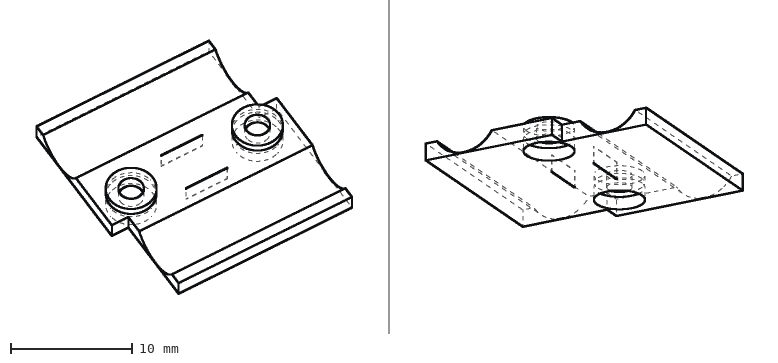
import cadquery as cq

width = 19.75
length = 18.37
plate_thickness = 1.5
boss_height = 0.7

middle_width = 3.93
left_setback = 1.7
right_setback = 1.6

channel_radius = 3.02
channel_spacing = 12.5
channel_floor = 0.05

boss_diameter = 4.2
hole_diameter = 2.1
socket_diameter = boss_diameter
socket_depth = 1.1
boss_edge_distance = 3.06
boss_shift = 0.03

slit_width = 0.04
slit_length = 3.99

boss_top = plate_thickness + boss_height
half_width = width / 2
half_middle = middle_width / 2
boss_places = [
    (boss_shift, boss_edge_distance),
    (-boss_shift, length - boss_edge_distance),
]

def make_plate():
    """Stepped plate with a notch at the back left and the front right."""
    outline = [
        (-half_width, 0),
        (half_middle, 0),
        (half_middle, right_setback),
        (half_width, right_setback),
        (half_width, length),
        (-half_middle, length),
        (-half_middle, length - left_setback),
        (-half_width, length - left_setback),
    ]
    return cq.Workplane("XY").polyline(outline).close().extrude(plate_thickness)

def make_channels():
    """Cylinders that cut a channel into each half."""
    axis_height = channel_floor + channel_radius
    half_spacing = channel_spacing / 2
    return (
        cq.Workplane("XZ")
        .pushPoints([(-half_spacing, axis_height), (half_spacing, axis_height)])
        .circle(channel_radius)
        .extrude(-length)
    )

def make_slits():
    """Narrow through slits, in line with the notch walls."""
    return (
        cq.Workplane("XY")
        .pushPoints([(-half_middle, length / 2), (half_middle, length / 2)])
        .rect(slit_width, slit_length)
        .extrude(plate_thickness)
    )

def make_boss_cylinders(diameter, bottom, top):
    """One upright cylinder at each boss place."""
    return (
        cq.Workplane("XY", origin=(0, 0, bottom))
        .pushPoints(boss_places)
        .circle(diameter / 2)
        .extrude(top - bottom)
    )

plate = make_plate().cut(make_channels()).cut(make_slits())
bosses = make_boss_cylinders(boss_diameter, plate_thickness, boss_top)
holes = make_boss_cylinders(hole_diameter, 0, boss_top)
sockets = make_boss_cylinders(socket_diameter, 0, socket_depth)

result = plate.union(bosses).cut(holes).cut(sockets)